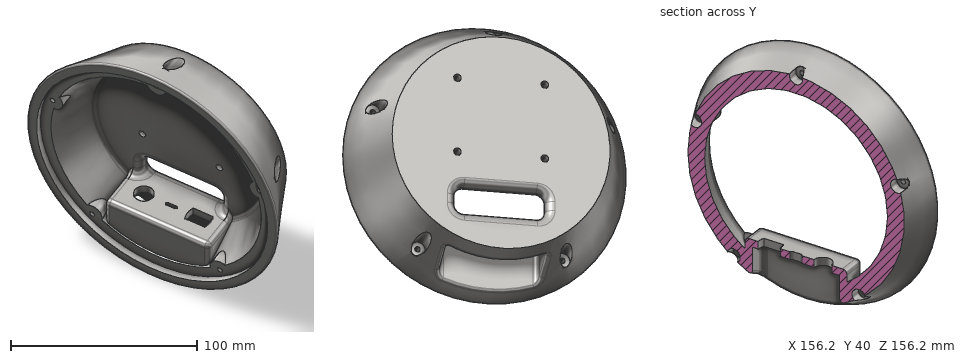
import cadquery as cq
import math

rim_radius = 78.1
depth = 40.0
cone_angle = 25
cone_slope = math.tan(math.radians(cone_angle))
floor_thickness = 10.0
floor_y = depth - floor_thickness
wall_thickness = 11.1
rim_fillet = 1.0
floor_fillet = 3.0

recess_radius = 72.1
recess_depth = 4.0

boss_count = 5
boss_circle_radius = 68.0
boss_radius = 6.2
screw_hole_diameter = 3.0
screw_head_diameter = 8.1
screw_head_seat_y = 14.0

mount_hole_diameter = 4.0
mount_hole_half_spacing = 24.0
mount_hole_levels = (35.0, -7.0)

housing_half_width = 32.6
housing_top_z = -41.0
housing_front_y = 5.0
housing_fillet = 3.0
housing_wall = 5.0

pocket_half_width = housing_half_width - housing_wall
pocket_front_y = housing_front_y + housing_wall
pocket_back_y = floor_y
pocket_corner_radius = 3.0
pocket_mouth_fillet = 2.0

slot_half_width = 25.0
slot_top_z = -26.1
slot_corner_radius = 5.0
slot_rounding = 4.8
slot_back_rounding = 4.7
slot_overlap = 0.3

opening_y = 20.1
opening_offset = 17.2
jack_diameter = 11.1
switch_length = 12.5
switch_width = 8.9
switch_end_bulge = 0.8
port_length = 7.2
port_width = 2.0

pick_margin = 0.2

half_rim_angle = math.radians((90 - cone_angle) / 2)
sharp_rim_radius = rim_radius + rim_fillet * (1 / math.tan(half_rim_angle) - 1)


def outer_radius(y):
    return sharp_rim_radius - cone_slope * y


def inner_radius(y):
    return outer_radius(y) - wall_thickness


def cone_body():
    profile = cq.Workplane("XY").polyline(
        [(0, 0), (outer_radius(0), 0), (outer_radius(depth), depth), (0, depth)]
    ).close()
    cone = profile.revolve(360, (0, 0, 0), (0, 1, 0))
    return cone.faces("<Y").edges().fillet(rim_fillet)


def cavity_body():
    profile = cq.Workplane("XY").polyline(
        [(0, 0), (inner_radius(0), 0), (inner_radius(floor_y), floor_y), (0, floor_y)]
    ).close()
    cavity = profile.revolve(360, (0, 0, 0), (0, 1, 0))
    return cavity.faces(">Y").edges().fillet(floor_fillet)


def box(x_range, y_range, z_range):
    sizes = [high - low for low, high in (x_range, y_range, z_range)]
    corner = (x_range[0], y_range[0], z_range[0])
    return cq.Workplane("XY").box(*sizes, centered=False).translate(corner)


def cylinder_y(radius, y_start, y_end, points):
    """Cylinders along Y at the given (x, z) points."""
    plane = cq.Workplane("XZ", origin=(0, y_start, 0))
    return plane.pushPoints(points).circle(radius).extrude(y_start - y_end)


def boss_points():
    angles = [math.radians(90 + 360 * i / boss_count) for i in range(boss_count)]
    return [(boss_circle_radius * math.cos(a), boss_circle_radius * math.sin(a)) for a in angles]


def cut_cable_slot(dish):
    """Cut the slot slightly below the housing top and round its edge on the cavity side."""
    bottom_z = housing_top_z - slot_overlap
    slot = box((-slot_half_width, slot_half_width), (floor_y, depth), (bottom_z, slot_top_z))
    slot = slot.edges("|Y and >Z").fillet(slot_corner_radius)
    dish = dish.cut(slot)
    edge_zone = cq.selectors.BoxSelector(
        (-slot_half_width - pick_margin, floor_y - pick_margin, bottom_z + pick_margin),
        (slot_half_width + pick_margin, floor_y + pick_margin, slot_top_z + pick_margin),
    )
    return dish.edges(edge_zone).fillet(slot_rounding)


def round_back_of_slot(dish):
    """Round the slot edge on the flat back, all the way around."""
    edge_zone = cq.selectors.BoxSelector(
        (-slot_half_width - pick_margin, depth - pick_margin, housing_top_z - pick_margin),
        (slot_half_width + pick_margin, depth + pick_margin, slot_top_z + pick_margin),
    )
    return dish.edges(edge_zone).fillet(slot_back_rounding)


def housing_body():
    """Housing with rounded edges that climb a flare to the floor at both ends."""
    r = slot_rounding
    flare_y = floor_y - r
    flare_top_z = housing_top_z + r
    root_y = floor_y + r
    profile = (
        cq.Workplane("YZ", origin=(-housing_half_width, 0, 0))
        .moveTo(housing_front_y, -rim_radius)
        .lineTo(housing_front_y, housing_top_z)
        .lineTo(flare_y, housing_top_z)
        .radiusArc((floor_y, flare_top_z), -r)
        .lineTo(root_y, flare_top_z)
        .lineTo(root_y, housing_top_z)
        .lineTo(depth, housing_top_z)
        .lineTo(depth, -rim_radius)
        .close()
    )
    body = profile.extrude(2 * housing_half_width)
    front_edges = body.faces("<Y").edges("not <Z")
    side_zone = cq.selectors.BoxSelector(
        (-rim_radius, housing_front_y + pick_margin, housing_top_z - pick_margin),
        (rim_radius, floor_y - pick_margin, flare_top_z - pick_margin),
    )
    side_edges = body.edges(side_zone).edges("not |X")
    body = front_edges.add(side_edges).fillet(housing_fillet)
    flare_half_width = slot_half_width + r
    return body.cut(box(
        (-flare_half_width, flare_half_width),
        (housing_front_y, depth),
        (housing_top_z, flare_top_z),
    ))


def slot_flare():
    """Concave flare from the right side of the slot down onto the housing top."""
    r = slot_rounding
    axis_x = slot_half_width + r
    axis_y = floor_y + r
    profile = (
        cq.Workplane("XZ", origin=(axis_x, axis_y, housing_top_z))
        .moveTo(0, 0)
        .lineTo(-2 * r, 0)
        .radiusArc((-r, r), -r)
        .lineTo(0, r)
        .close()
    )
    bend = profile.revolve(90, (0, 0, 0), (0, 1, 0))
    straight = profile.toPending().extrude(axis_y - depth)
    return bend.union(straight)


def connector_pocket():
    z_range = (-rim_radius, housing_top_z - housing_wall)
    pocket = box((-pocket_half_width, pocket_half_width), (pocket_front_y, pocket_back_y), z_range)
    return pocket.edges("|Z").fillet(pocket_corner_radius)


def cut_pocket(dish):
    """Cut the pocket and round its mouth where it breaks through the cone."""
    dish = dish.cut(connector_pocket())
    mouth_zone = cq.selectors.BoxSelector(
        (-pocket_half_width - pick_margin, pocket_front_y - pick_margin, -rim_radius),
        (pocket_half_width + pick_margin, pocket_back_y + pick_margin, housing_top_z - 2 * housing_wall),
    )
    return dish.edges(mouth_zone).edges("not |Z").fillet(pocket_mouth_fillet)


def connector_openings():
    """Round jack, narrow port and bow-ended switch opening through the housing roof."""

    def roof_at(x):
        return cq.Workplane("XY", origin=(x, opening_y, housing_top_z))

    half_length = switch_length / 2
    half_width = switch_width / 2
    bow = half_length + switch_end_bulge
    switch = (
        roof_at(opening_offset)
        .moveTo(-half_length, -half_width)
        .lineTo(half_length, -half_width)
        .threePointArc((bow, 0), (half_length, half_width))
        .lineTo(-half_length, half_width)
        .threePointArc((-bow, 0), (-half_length, -half_width))
        .close()
        .extrude(-housing_wall)
    )
    jack = roof_at(-opening_offset).circle(jack_diameter / 2).extrude(-housing_wall)
    port = roof_at(0).slot2D(port_length, port_width).extrude(-housing_wall)
    return jack.union(switch).union(port)


cone = cone_body()
dish = cone.cut(cavity_body())
dish = cut_cable_slot(dish)

bosses = cylinder_y(boss_radius, 0, floor_y, boss_points())
flare = slot_flare()
additions = housing_body().union(flare).union(flare.mirror("YZ")).union(bosses).intersect(cone)
dish = round_back_of_slot(dish.union(additions))

dish = dish.cut(cylinder_y(recess_radius, 0, recess_depth, [(0, 0)]))
dish = dish.cut(cylinder_y(screw_hole_diameter / 2, 0, depth, boss_points()))
dish = dish.cut(cylinder_y(screw_head_diameter / 2, screw_head_seat_y, depth, boss_points()))

mount_points = [(s * mount_hole_half_spacing, z) for s in (-1, 1) for z in mount_hole_levels]
dish = dish.cut(cylinder_y(mount_hole_diameter / 2, 0, depth, mount_points))

result = cut_pocket(dish).cut(connector_openings())